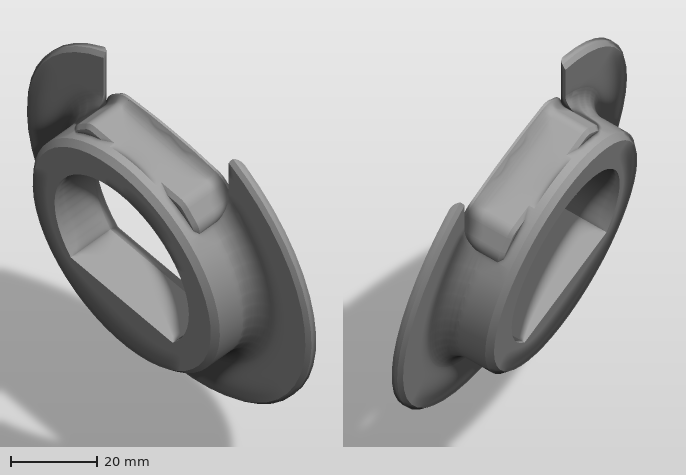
import math

import cadquery as cq


flange_radius = 48.7
flange_thickness = 2.5
flange_chamfer = 1.0

hub_radius = 32.0
hub_depth = 16.5
hub_chamfer = 1.5
hub_root_fillet = 5.0

bore_radius = 23.0
bore_flat_z = -15.0
bore_back_chamfer = 4.0

slot_half_width = 21.4
slot_back_round = 3.0

pad_half_width = 21.25
pad_top_z = 31.0
pad_depth = 12.5
pad_chamfer = 1.0
pad_corner_radius = 4.0
pad_slant_start_x = 16.2
pad_base_z = 20.0
pad_flat_depth = 13.0

lip_offset = 1.15
lip_edge_depth = 0.65
lip_fillet = 3.0
lip_root = 1.0
crown_top_z = 33.0

quarter_arc_inset = 1 - math.sqrt(0.5)

slant_angle = math.radians(45)
pad_shoulder_z = pad_top_z - (pad_half_width - pad_slant_start_x)
corner_setback = pad_corner_radius * math.tan(slant_angle / 2)
slant_setback = corner_setback * math.cos(slant_angle)
top_half_width = pad_slant_start_x - corner_setback


def fillet_reach(rise):
    """Depth over which the lip fillet climbs by the given rise above the pad."""
    return math.sqrt(lip_fillet**2 - (lip_fillet - rise) ** 2)


def fillet_midpoint(depth_end, rise):
    """(depth, rise) of the middle of the lip fillet that runs out at depth_end."""
    half_angle = math.asin(fillet_reach(rise) / lip_fillet) / 2
    depth = depth_end - lip_fillet * math.sin(half_angle)
    return depth, lip_fillet * (1 - math.cos(half_angle))


def arc_radius(half_chord, sagitta):
    return (half_chord**2 + sagitta**2) / (2 * sagitta)


def make_body():
    """Flange and hub turned about Y, joined by a concave root fillet."""
    fillet_mid = hub_root_fillet * quarter_arc_inset
    half_section = (
        cq.Workplane("YZ")
        .moveTo(0, 0)
        .lineTo(0, flange_radius)
        .lineTo(-(flange_thickness - flange_chamfer), flange_radius)
        .lineTo(-flange_thickness, flange_radius - flange_chamfer)
        .lineTo(-flange_thickness, hub_radius + hub_root_fillet)
        .threePointArc(
            (-(flange_thickness + fillet_mid), hub_radius + fillet_mid),
            (-(flange_thickness + hub_root_fillet), hub_radius),
        )
        .lineTo(-(hub_depth - hub_chamfer), hub_radius)
        .lineTo(-hub_depth, hub_radius - hub_chamfer)
        .lineTo(-hub_depth, 0)
        .close()
    )
    return half_section.revolve(360, (0, 0, 0), (1, 0, 0))


def make_slot():
    """Cutter that clears the flange above the hub; its walls round over toward the back."""
    back_half_width = slot_half_width + slot_back_round
    mid_depth = slot_back_round * quarter_arc_inset
    mid_half_width = slot_half_width + mid_depth
    channel = (
        cq.Workplane("XY")
        .moveTo(-back_half_width, 0)
        .threePointArc((-mid_half_width, -mid_depth), (-slot_half_width, -slot_back_round))
        .lineTo(-slot_half_width, -hub_depth)
        .lineTo(slot_half_width, -hub_depth)
        .lineTo(slot_half_width, -slot_back_round)
        .threePointArc((mid_half_width, -mid_depth), (back_half_width, 0))
        .close()
        .extrude(flange_radius)
    )
    hub_core = cq.Workplane("XZ").circle(hub_radius).extrude(hub_depth)
    return channel.cut(hub_core)


def make_pad():
    """Octagon-like pad with rounded corners and a chamfered front edge."""
    outline = [
        (-pad_half_width, pad_base_z),
        (-pad_half_width, pad_shoulder_z),
        (-pad_slant_start_x, pad_top_z),
        (pad_slant_start_x, pad_top_z),
        (pad_half_width, pad_shoulder_z),
        (pad_half_width, pad_base_z),
    ]
    pad = cq.Workplane("XZ").polyline(outline).close().extrude(pad_depth)
    middle_z = (pad_base_z + pad_shoulder_z) / 2
    upper_corners = cq.selectors.BoxSelector(
        (-flange_radius, -hub_depth, middle_z),
        (flange_radius, 0, flange_radius),
    )
    pad = pad.edges("|Y").edges(upper_corners).fillet(pad_corner_radius)
    return pad.faces("<Y").edges().chamfer(pad_chamfer)


def make_pad_flat():
    """Cutter that levels the hub crest to the pad's top."""
    height = hub_radius - pad_top_z
    return (
        cq.Workplane("XZ")
        .center(0, pad_top_z + height / 2)
        .rect(2 * pad_half_width, height)
        .extrude(pad_flat_depth)
    )


def make_side_lip():
    """Lip around the pad's left corners, slant and side, swept along the pad outline."""
    bend = slant_angle / 2
    bulge = pad_corner_radius * (1 - math.cos(bend))
    run = pad_corner_radius * math.sin(bend)
    upper_z = pad_top_z - slant_setback
    side_z = pad_shoulder_z - corner_setback
    path = (
        cq.Workplane("XZ")
        .moveTo(-top_half_width, pad_top_z)
        .threePointArc(
            (-top_half_width - run, pad_top_z - bulge),
            (-pad_slant_start_x - slant_setback, upper_z),
        )
        .lineTo(-pad_half_width + slant_setback, pad_shoulder_z + slant_setback)
        .threePointArc(
            (-pad_half_width + bulge, side_z + run),
            (-pad_half_width, side_z),
        )
    )
    run_out = lip_edge_depth + fillet_reach(lip_offset)
    mid_depth, mid_rise = fillet_midpoint(run_out, lip_offset)
    section = (
        cq.Workplane("YZ", origin=(-top_half_width, 0, pad_top_z))
        .moveTo(0, -lip_root)
        .lineTo(0, lip_offset)
        .lineTo(-lip_edge_depth, lip_offset)
        .threePointArc((-mid_depth, mid_rise), (-run_out, 0))
        .lineTo(-run_out, -lip_root)
        .close()
    )
    return section.sweep(path)


def make_crown():
    """Bowed lip along the pad's top, highest and deepest at the middle."""
    rise = crown_top_z - pad_top_z
    run_out = lip_edge_depth + fillet_reach(rise)
    side_run_out = lip_edge_depth + fillet_reach(lip_offset)
    bow_radius = arc_radius(top_half_width, run_out - side_run_out)
    mid_depth, mid_rise = fillet_midpoint(run_out, rise)
    axis_y = bow_radius - run_out
    overshoot = flange_thickness
    half_sweep = math.degrees(math.asin(pad_half_width / bow_radius))
    ring = (
        cq.Workplane("YZ")
        .moveTo(overshoot, pad_top_z - lip_root)
        .lineTo(overshoot, crown_top_z)
        .lineTo(-lip_edge_depth, crown_top_z)
        .threePointArc((-mid_depth, pad_top_z + mid_rise), (-run_out, pad_top_z))
        .lineTo(-run_out, pad_top_z - lip_root)
        .close()
        .revolve(2 * half_sweep, (axis_y, 0, 0), (axis_y, 1, 0))
        .rotate((0, axis_y, 0), (0, axis_y, 1), -half_sweep)
    )
    outline = (
        cq.Workplane("XZ")
        .moveTo(-top_half_width, pad_top_z - lip_root)
        .lineTo(-top_half_width, pad_top_z + lip_offset)
        .threePointArc((0, crown_top_z), (top_half_width, pad_top_z + lip_offset))
        .lineTo(top_half_width, pad_top_z - lip_root)
        .close()
        .extrude(pad_depth)
    )
    return ring.intersect(outline)


def make_bore():
    """Through bore with a flat across its bottom, opened at 45 degrees toward the back."""
    half_flat = math.sqrt(bore_radius**2 - bore_flat_z**2)
    bore = (
        cq.Workplane("XZ")
        .moveTo(-half_flat, bore_flat_z)
        .threePointArc((0, bore_radius), (half_flat, bore_flat_z))
        .close()
        .extrude(hub_depth)
    )
    wide_radius = bore_radius + bore_back_chamfer
    cone = cq.Workplane("XZ").circle(wide_radius).extrude(bore_back_chamfer, taper=45)
    bevel_floor = [
        (0, bore_flat_z - bore_back_chamfer),
        (-bore_back_chamfer, bore_flat_z),
        (-bore_back_chamfer, wide_radius),
        (0, wide_radius),
    ]
    wedge = cq.Workplane("YZ").polyline(bevel_floor).close().extrude(wide_radius, both=True)
    return bore.union(cone.intersect(wedge))


left_lip = make_side_lip()
right_lip = left_lip.mirror("YZ")

result = (
    make_body()
    .cut(make_slot())
    .cut(make_pad_flat())
    .union(make_pad())
    .union(left_lip)
    .union(right_lip)
    .union(make_crown())
    .cut(make_bore())
)